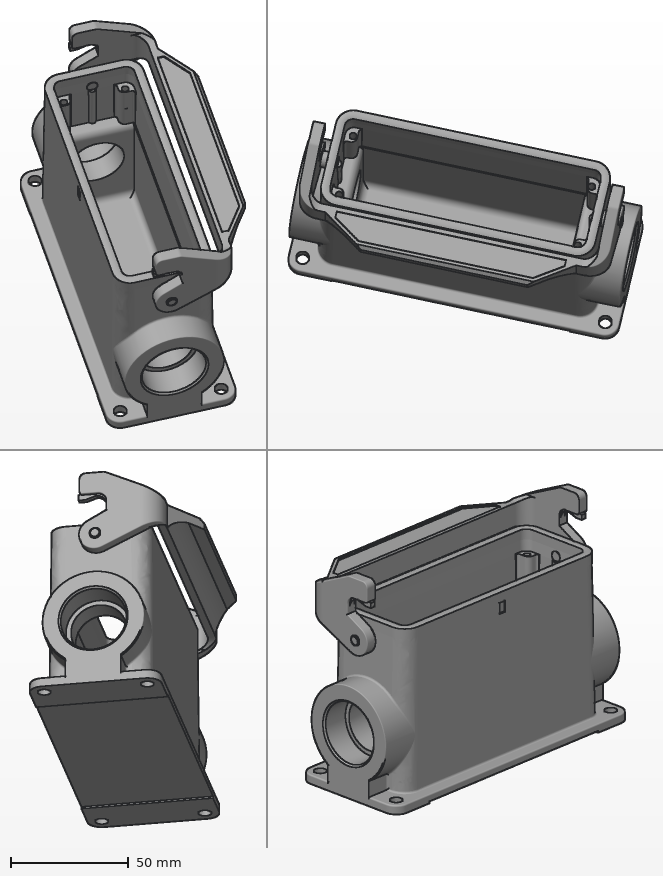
import cadquery as cq
import math

PLATE_LENGTH = 144.0
PLATE_WIDTH = 57.0
PLATE_HEIGHT = 4.2
PLATE_CORNER_RADIUS = 6.2
PLATE_EDGE_FILLET = 0.7
MOUNT_HOLE_DIAMETER = 5.6
MOUNT_HOLE_X = 66.0
MOUNT_HOLE_Y = 22.3
RELIEF_LENGTH = 103.7
RELIEF_HEIGHT = 0.9

RIM_Z = 80.4
BAND_Z = 75.2
BOX_TOP_LENGTH = 119.4
BOX_TOP_WIDTH = 43.5
BOX_FOOT_LENGTH = 121.5
BOX_FOOT_WIDTH = 44.8
BOX_CORNER_RADIUS = 7.6
ROOT_FILLET = 0.9
ROOT_TOLERANCE = 0.22
MARK_WIDTH = 3.5
MARK_HEIGHT = 5.2
MARK_DEPTH = 0.7
CROWN_HEIGHT = 0.5

MOUTH_LENGTH = 111.6
MOUTH_WIDTH = 35.5
MOUTH_CORNER_RADIUS = 3.7
MOUTH_STEP = 0.3
SHAFT_LENGTH = MOUTH_LENGTH - 2 * MOUTH_STEP
SHAFT_WIDTH = MOUTH_WIDTH - 2 * MOUTH_STEP
SHAFT_DRAFT = 0.5
LEDGE_Z = 49.0
WELL_LENGTH = 96.5
WELL_WIDTH = 33.1
WELL_FLOOR_FILLET = 3.0
FLOOR_Z = PLATE_HEIGHT
LEDGE_EDGE_FILLET = 3.2

POST_TOP_Z = 70.0
POST_X = 52.0
POST_Y = 13.5
POST_INNER_X = 50.1
POST_INNER_Y = 10.7
POST_CORNER_RADIUS = 2.6
POST_BLEND_RADIUS = 1.2
SCREW_HOLE_DIAMETER = 3.0
SCREW_HOLE_DEPTH = 11.5
RIB_DIAMETER = 3.5

SPIGOT_Z = 30.1
SPIGOT_DIAMETER = 44.0
SPIGOT_EDGE_FILLET = 0.5
BORE_DIAMETER = 28.4
BORE_DEPTH = 13.0
BORE_CHAMFER = 0.9
CABLE_HOLE_DIAMETER = 24.0
PEDESTAL_WIDTH = 24.0

PIVOT_Z = 72.0
PIVOT_RADIUS = 7.0
PIN_DIAMETER = 4.8
PIN_END_CHAMFER = 0.5
PIN_END_X = 68.4
COLLAR_DIAMETER = 7.0
LEVER_HALF_LENGTH = 67.7
LEVER_INNER_HALF_LENGTH = 62.6
LEVER_BACK_Y = 28.8
LEVER_INNER_Y = 25.3
LEVER_INNER_RADIUS = 6.0
LEVER_OUTER_RADIUS = 9.4
LEVER_TOP_Z = 100.7
ARM_SLOPE = math.radians(25)
ARM_FRONT_Y = -6.9
ARM_EDGE_FILLET = 0.5
NOSE_TOP_RADIUS = 2.9
NOSE_BOTTOM_RADIUS = 1.3
NOTCH_TOP_Z = 91.0
NOTCH_BACK_Y = 4.8
NOTCH_CORNER_Z = 82.7
NOTCH_RADIUS = 3.6
CREST_Y = 4.0
CREST_RADIUS = 2.7
CROSSBAR_TOP_Z = 88.7
CROSSBAR_BOTTOM_Z = 77.8
CROSSBAR_HALF_LENGTH = 56.6
CROSSBAR_BLEND_RADIUS = 8.4
LIP_CENTER_X = 64.8
LIP_WIDTH = 2.6
LIP_BOTTOM_Z = 88.7
LIP_FLAT_Y = -4.5
LIP_TIP_Y = -7.5
LIP_ROOT_Z = 86.3
LIP_BEND_Y = 0.5
LIP_BEND_Z = 90.3
LIP_BEND_RADIUS = 4.8

GRIP_EDGE_Y = 41.5
GRIP_EDGE_HALF_LENGTH = 36.5
GRIP_ROOT_HALF_LENGTH = 54.7
GRIP_EDGE_CHAMFER = 1.6
GRIP_UNDERSIDE_RADIUS = 11.5
GRIP_UNDERSIDE_START_Y = 36.0
GRIP_EDGE_BOTTOM_Z = 84.4
RECESS_DEPTH = 0.6
RECESS_NEAR_Y = 27.4
RECESS_SIDE_Y = 30.1
RECESS_FAR_Y = 38.3
RECESS_HALF_LENGTH = 50.0
RECESS_FAR_HALF_LENGTH = 38.0

SIDES = (-1, 1)
OVERLAP = 1.5


def rounded_rectangle(length, width, radius):
    return cq.Sketch().rect(length, width).vertices().fillet(radius)


def upright_prism(length, width, radius, bottom, top):
    outline = rounded_rectangle(length, width, radius)
    return cq.Workplane("XY").workplane(offset=bottom).placeSketch(outline).extrude(top - bottom)


def drafted_prism(bottom_size, top_size, radius, bottom, top):
    """Rounded block whose length and width change evenly from bottom to top."""
    rise = cq.Location(cq.Vector(0, 0, top - bottom))
    bottom_outline = rounded_rectangle(*bottom_size, radius)
    top_outline = rounded_rectangle(*top_size, radius).moved(rise)
    return cq.Workplane("XY").workplane(offset=bottom).placeSketch(bottom_outline, top_outline).loft(ruled=True)


def x_cylinder(diameter, x_start, x_end, z):
    end_plane = cq.Plane(origin=(x_start, 0, z), xDir=(0, 0, -1), normal=(1, 0, 0))
    return cq.Workplane(end_plane).circle(diameter / 2).extrude(x_end - x_start)


def mirrored_in_x(points):
    return points + [(-x, y) for x, y in reversed(points)]


def make_plate():
    plate = upright_prism(PLATE_LENGTH, PLATE_WIDTH, PLATE_CORNER_RADIUS, 0, PLATE_HEIGHT)
    plate = plate.faces(">Z").edges().fillet(PLATE_EDGE_FILLET)
    hole_places = [(sx * MOUNT_HOLE_X, sy * MOUNT_HOLE_Y) for sx in SIDES for sy in SIDES]
    holes = cq.Workplane("XY").pushPoints(hole_places).circle(MOUNT_HOLE_DIAMETER / 2).extrude(PLATE_HEIGHT)
    return plate.cut(holes)


def make_box():
    foot_size = (BOX_FOOT_LENGTH, BOX_FOOT_WIDTH)
    top_size = (BOX_TOP_LENGTH, BOX_TOP_WIDTH)
    drafted = drafted_prism(foot_size, top_size, BOX_CORNER_RADIUS, PLATE_HEIGHT, BAND_Z)
    band = upright_prism(BOX_TOP_LENGTH, BOX_TOP_WIDTH, BOX_CORNER_RADIUS, BAND_Z, RIM_Z)
    return drafted.union(band, clean=False).cut(make_rim_crowning())


def make_rim_crowning():
    """Space above the shallow crown of the rim, as a ring swept around the box."""
    wall = (BOX_TOP_WIDTH - MOUTH_WIDTH) / 2
    half_span = wall / 2 + OVERLAP
    middle_y = (BOX_TOP_WIDTH - wall) / 2
    edge_z = RIM_Z - CROWN_HEIGHT * (half_span / (wall / 2)) ** 2
    half_length = (BOX_TOP_LENGTH - wall) / 2
    radius = BOX_CORNER_RADIUS - wall / 2
    straight_x = half_length - radius
    straight_y = middle_y - radius
    path = (
        cq.Workplane("XY", origin=(0, 0, RIM_Z))
        .moveTo(0, -middle_y)
        .lineTo(straight_x, -middle_y)
        .tangentArcPoint((half_length, -straight_y), relative=False)
        .lineTo(half_length, straight_y)
        .tangentArcPoint((straight_x, middle_y), relative=False)
        .lineTo(-straight_x, middle_y)
        .tangentArcPoint((-half_length, straight_y), relative=False)
        .lineTo(-half_length, -straight_y)
        .tangentArcPoint((-straight_x, -middle_y), relative=False)
        .close()
    )
    section = (
        cq.Workplane("YZ")
        .moveTo(-middle_y - half_span, edge_z)
        .threePointArc((-middle_y, RIM_Z), (-middle_y + half_span, edge_z))
        .lineTo(-middle_y + half_span, RIM_Z + OVERLAP)
        .lineTo(-middle_y - half_span, RIM_Z + OVERLAP)
        .close()
    )
    return section.sweep(path)


def make_spigot(side):
    end_x = side * PLATE_LENGTH / 2
    spigot = x_cylinder(SPIGOT_DIAMETER, 0, end_x, SPIGOT_Z)
    pedestal = cq.Workplane("XY").box(
        PLATE_LENGTH / 2, PEDESTAL_WIDTH, SPIGOT_Z, centered=(True, True, False)
    ).translate((end_x / 2, 0, 0))
    end_face = ">X" if side > 0 else "<X"
    return spigot.faces(end_face).edges().fillet(SPIGOT_EDGE_FILLET).union(pedestal)


def make_cavity():
    shaft_size = (SHAFT_LENGTH, SHAFT_WIDTH)
    ledge_size = (SHAFT_LENGTH - 2 * SHAFT_DRAFT, SHAFT_WIDTH - 2 * SHAFT_DRAFT)
    mouth = upright_prism(MOUTH_LENGTH, MOUTH_WIDTH, MOUTH_CORNER_RADIUS, BAND_Z, RIM_Z)
    step = drafted_prism(shaft_size, (MOUTH_LENGTH, MOUTH_WIDTH), MOUTH_CORNER_RADIUS, POST_TOP_Z, BAND_Z)
    shaft = drafted_prism(ledge_size, shaft_size, MOUTH_CORNER_RADIUS, LEDGE_Z, POST_TOP_Z)
    well = cq.Workplane("XY").workplane(offset=FLOOR_Z).rect(WELL_LENGTH, WELL_WIDTH).extrude(LEDGE_Z - FLOOR_Z)
    well = well.faces("<Z").edges().fillet(WELL_FLOOR_FILLET)
    upper = mouth.union(step).union(shaft)
    return upper.union(well).union(make_ledge_rounding(1)).union(make_ledge_rounding(-1))


def make_ledge_rounding(side):
    """Space above the rounded inner edge of the ledge at one end."""
    well_x = side * WELL_LENGTH / 2
    radius = LEDGE_EDGE_FILLET
    corner = cq.Workplane("XY").box(radius, WELL_WIDTH, radius).translate(
        (well_x + side * radius / 2, 0, LEDGE_Z - radius / 2)
    )
    roll = cq.Workplane("XZ", origin=(well_x + side * radius, WELL_WIDTH / 2, LEDGE_Z - radius)).circle(radius)
    return corner.cut(roll.extrude(WELL_WIDTH))


def make_post(side_x, side_y):
    """Screw post in one corner of the cavity, drawn in the +X +Y corner and mirrored to the others."""
    wall_x = MOUTH_LENGTH / 2
    wall_y = MOUTH_WIDTH / 2
    blend_x = SHAFT_LENGTH / 2 - SHAFT_DRAFT
    blend_y = SHAFT_WIDTH / 2 - SHAFT_DRAFT
    blend = POST_BLEND_RADIUS
    outline = (
        cq.Workplane("XY", origin=(0, 0, LEDGE_Z - LEDGE_EDGE_FILLET))
        .moveTo(wall_x, wall_y)
        .lineTo(POST_INNER_X - blend, wall_y)
        .lineTo(POST_INNER_X - blend, blend_y)
        .radiusArc((POST_INNER_X, blend_y - blend), blend)
        .lineTo(POST_INNER_X, POST_INNER_Y + POST_CORNER_RADIUS)
        .radiusArc((POST_INNER_X + POST_CORNER_RADIUS, POST_INNER_Y), -POST_CORNER_RADIUS)
        .lineTo(blend_x - blend, POST_INNER_Y)
        .radiusArc((blend_x, POST_INNER_Y - blend), blend)
        .lineTo(wall_x, POST_INNER_Y - blend)
        .close()
    )
    post = outline.extrude(POST_TOP_Z - LEDGE_Z + LEDGE_EDGE_FILLET)
    hole = cq.Workplane("XY", origin=(POST_X, POST_Y, POST_TOP_Z)).circle(SCREW_HOLE_DIAMETER / 2)
    post = post.cut(hole.extrude(-SCREW_HOLE_DEPTH))
    if side_x < 0:
        post = post.mirror("YZ")
    if side_y < 0:
        post = post.mirror("XZ")
    return post


def make_rib(side):
    """Half-round key rib on the end wall of the cavity."""
    rib = cq.Workplane("XY", origin=(side * MOUTH_LENGTH / 2, 0, LEDGE_Z)).circle(RIB_DIAMETER / 2)
    return rib.extrude(POST_TOP_Z - LEDGE_Z)


def cut_spigot_bore(housing, side):
    end_x = side * PLATE_LENGTH / 2
    mouth_radius = BORE_DIAMETER / 2 + BORE_CHAMFER
    bore = x_cylinder(BORE_DIAMETER, end_x, end_x - side * BORE_DEPTH, SPIGOT_Z)
    mouth = cq.Workplane("XY").add(cq.Solid.makeCone(
        mouth_radius, BORE_DIAMETER / 2, BORE_CHAMFER,
        pnt=cq.Vector(end_x, 0, SPIGOT_Z), dir=cq.Vector(-side, 0, 0),
    ))
    cable_hole = x_cylinder(CABLE_HOLE_DIAMETER, end_x, 0, SPIGOT_Z)
    return housing.cut(bore).cut(mouth).cut(cable_hole)


def round_roots(shell):
    """Fillets where the box meets the plate, the spigots and their pedestals."""
    half_length = BOX_FOOT_LENGTH / 2 + ROOT_TOLERANCE
    half_width = BOX_FOOT_WIDTH / 2 + ROOT_TOLERANCE
    root_region = cq.selectors.BoxSelector(
        (-half_length, -half_width, PLATE_HEIGHT - ROOT_TOLERANCE),
        (half_length, half_width, SPIGOT_Z + SPIGOT_DIAMETER / 2 + ROOT_TOLERANCE),
        boundingbox=True,
    )

    def is_root(edge):
        bounds = edge.BoundingBox()
        on_plate = bounds.zmax < PLATE_HEIGHT + ROOT_TOLERANCE
        on_spigot = bounds.zmin > PLATE_HEIGHT + ROOT_TOLERANCE
        beside_pedestal = abs(edge.Center().y) < PEDESTAL_WIDTH / 2 + ROOT_TOLERANCE
        on_pedestal = bounds.ymax - bounds.ymin < ROOT_TOLERANCE and beside_pedestal
        return on_plate or on_spigot or on_pedestal

    return shell.edges(root_region).filter(is_root).fillet(ROOT_FILLET)


def make_housing():
    housing = make_plate().union(make_box())
    for side in SIDES:
        housing = housing.union(make_spigot(side))
    housing = round_roots(housing)
    housing = housing.cut(make_cavity())
    for side in SIDES:
        housing = cut_spigot_bore(housing, side)
        housing = housing.union(make_rib(side))
        for side_y in SIDES:
            housing = housing.union(make_post(side, side_y))
        collar = x_cylinder(COLLAR_DIAMETER, side * BOX_TOP_LENGTH / 2 - side * OVERLAP,
                            side * LEVER_INNER_HALF_LENGTH, PIVOT_Z)
        pin_hole = x_cylinder(PIN_DIAMETER, side * SHAFT_LENGTH / 2, side * LEVER_INNER_HALF_LENGTH, PIVOT_Z)
        housing = housing.union(collar).cut(pin_hole)
    mark = cq.Workplane("XY").box(MARK_WIDTH, 2 * MARK_DEPTH, MARK_HEIGHT)
    relief = cq.Workplane("XY").box(RELIEF_LENGTH, PLATE_WIDTH, 2 * RELIEF_HEIGHT)
    return housing.cut(relief).cut(mark.translate((0, -BOX_TOP_WIDTH / 2, BAND_Z - MARK_HEIGHT / 2)))


def make_arm_profile():
    """Slab with the side outline of the arms, in the YZ plane with the pivot eye at Y = 0."""
    back_top_z = LEVER_TOP_Z - (LEVER_BACK_Y - CREST_Y) * math.tan(ARM_SLOPE)
    crest_tangent = CREST_RADIUS * math.tan(ARM_SLOPE / 2)
    crest_back_y = CREST_Y + crest_tangent * math.cos(ARM_SLOPE)
    crest_back_z = LEVER_TOP_Z - crest_tangent * math.sin(ARM_SLOPE)
    eye_bottom_y = PIVOT_RADIUS * math.sin(ARM_SLOPE)
    eye_bottom_z = PIVOT_Z - PIVOT_RADIUS * math.cos(ARM_SLOPE)
    back_bottom_z = eye_bottom_z + (LEVER_BACK_Y - eye_bottom_y) * math.tan(ARM_SLOPE)
    notch_height = NOTCH_CORNER_Z - PIVOT_Z
    corner_angle = math.atan2(notch_height, NOTCH_BACK_Y)
    tangent_angle = corner_angle + math.acos(PIVOT_RADIUS / math.hypot(NOTCH_BACK_Y, notch_height))
    eye_top_y = PIVOT_RADIUS * math.cos(tangent_angle)
    eye_top_z = PIVOT_Z + PIVOT_RADIUS * math.sin(tangent_angle)
    outline = (
        cq.Workplane("YZ")
        .moveTo(LEVER_BACK_Y, back_bottom_z)
        .lineTo(LEVER_BACK_Y, back_top_z)
        .lineTo(crest_back_y, crest_back_z)
        .tangentArcPoint((CREST_Y - crest_tangent, LEVER_TOP_Z), relative=False)
        .lineTo(ARM_FRONT_Y + NOSE_TOP_RADIUS, LEVER_TOP_Z)
        .tangentArcPoint((ARM_FRONT_Y, LEVER_TOP_Z - NOSE_TOP_RADIUS), relative=False)
        .lineTo(ARM_FRONT_Y, NOTCH_TOP_Z + NOSE_BOTTOM_RADIUS)
        .tangentArcPoint((ARM_FRONT_Y + NOSE_BOTTOM_RADIUS, NOTCH_TOP_Z), relative=False)
        .lineTo(NOTCH_BACK_Y - NOTCH_RADIUS, NOTCH_TOP_Z)
        .tangentArcPoint((NOTCH_BACK_Y, NOTCH_TOP_Z - NOTCH_RADIUS), relative=False)
        .lineTo(NOTCH_BACK_Y, NOTCH_CORNER_Z)
        .lineTo(eye_top_y, eye_top_z)
        .threePointArc((-PIVOT_RADIUS, PIVOT_Z), (eye_bottom_y, eye_bottom_z))
        .close()
    )
    return outline.extrude(LEVER_HALF_LENGTH, both=True)


def make_bow():
    """U-shaped wall of the lever, open toward -Y, taller than the finished lever."""
    front_y = -2 * PIVOT_RADIUS

    def block(half_length, back_y, radius):
        solid = cq.Workplane("XY").box(
            2 * half_length, back_y - front_y, 2 * LEVER_TOP_Z, centered=(True, False, True)
        )
        return solid.translate((0, front_y, 0)).edges("|Z and >Y").fillet(radius)

    outside = block(LEVER_HALF_LENGTH, LEVER_BACK_Y, LEVER_OUTER_RADIUS)
    inside = block(LEVER_INNER_HALF_LENGTH, LEVER_INNER_Y, LEVER_INNER_RADIUS)
    return outside.cut(inside)


def make_crossbar_trim(edge_z, direction):
    """Space beyond the crossbar's straight edge, with concave blends up to the arms."""
    blend_length = LEVER_INNER_HALF_LENGTH - CROSSBAR_HALF_LENGTH
    blend_height = CROSSBAR_BLEND_RADIUS - math.sqrt(CROSSBAR_BLEND_RADIUS**2 - blend_length**2)
    blend_z = edge_z + direction * blend_height
    far_z = edge_z + direction * LEVER_OUTER_RADIUS
    outline = (
        cq.Workplane("XZ", origin=(0, LEVER_INNER_Y - LEVER_INNER_RADIUS, 0))
        .moveTo(-CROSSBAR_HALF_LENGTH, edge_z)
        .lineTo(CROSSBAR_HALF_LENGTH, edge_z)
        .tangentArcPoint((LEVER_INNER_HALF_LENGTH, blend_z), relative=False)
        .lineTo(LEVER_INNER_HALF_LENGTH, far_z)
        .lineTo(-LEVER_INNER_HALF_LENGTH, far_z)
        .lineTo(-LEVER_INNER_HALF_LENGTH, blend_z)
        .radiusArc((-CROSSBAR_HALF_LENGTH, edge_z), -direction * CROSSBAR_BLEND_RADIUS)
        .close()
    )
    return outline.extrude(-LEVER_BACK_Y)


def make_grip():
    side_outline = (
        cq.Workplane("YZ")
        .moveTo(LEVER_INNER_Y, CROSSBAR_BOTTOM_Z)
        .lineTo(LEVER_INNER_Y, CROSSBAR_TOP_Z)
        .lineTo(GRIP_EDGE_Y - GRIP_EDGE_CHAMFER, CROSSBAR_TOP_Z)
        .lineTo(GRIP_EDGE_Y, CROSSBAR_TOP_Z - GRIP_EDGE_CHAMFER)
        .lineTo(GRIP_EDGE_Y, GRIP_EDGE_BOTTOM_Z)
        .lineTo(GRIP_UNDERSIDE_START_Y, GRIP_EDGE_BOTTOM_Z)
        .radiusArc((LEVER_BACK_Y, CROSSBAR_BOTTOM_Z), -GRIP_UNDERSIDE_RADIUS)
        .close()
    )
    plan_points = mirrored_in_x([
        (GRIP_ROOT_HALF_LENGTH, LEVER_INNER_Y),
        (GRIP_ROOT_HALF_LENGTH, LEVER_BACK_Y),
        (GRIP_EDGE_HALF_LENGTH, GRIP_EDGE_Y),
    ])
    plan = cq.Workplane("XY").polyline(plan_points).close().extrude(LEVER_TOP_Z)
    return side_outline.extrude(GRIP_ROOT_HALF_LENGTH, both=True).intersect(plan)


def make_grip_recess():
    points = mirrored_in_x([
        (RECESS_HALF_LENGTH, RECESS_NEAR_Y),
        (RECESS_HALF_LENGTH, RECESS_SIDE_Y),
        (RECESS_FAR_HALF_LENGTH, RECESS_FAR_Y),
    ])
    return cq.Workplane("XY", origin=(0, 0, CROSSBAR_TOP_Z)).polyline(points).close().extrude(-RECESS_DEPTH)


def make_lip(side):
    """Narrow latching lip under the nose of one arm, running on around the notch."""
    lip = (
        cq.Workplane("YZ", origin=(side * LIP_CENTER_X, 0, 0))
        .moveTo(NOTCH_BACK_Y + OVERLAP, NOTCH_TOP_Z + NOSE_BOTTOM_RADIUS)
        .lineTo(NOTCH_BACK_Y + OVERLAP, LIP_ROOT_Z)
        .lineTo(NOTCH_BACK_Y, LIP_ROOT_Z)
        .radiusArc((LIP_BEND_Y, LIP_BEND_Z), -LIP_BEND_RADIUS)
        .lineTo(LIP_FLAT_Y, LIP_BOTTOM_Z)
        .lineTo(LIP_TIP_Y, LIP_BOTTOM_Z)
        .lineTo(LIP_TIP_Y, NOTCH_TOP_Z)
        .lineTo(ARM_FRONT_Y + NOSE_BOTTOM_RADIUS, NOTCH_TOP_Z + NOSE_BOTTOM_RADIUS)
        .close()
    )
    return lip.extrude(LIP_WIDTH / 2, both=True)


def make_pin(side):
    pin = x_cylinder(PIN_DIAMETER, side * SHAFT_LENGTH / 2, side * PIN_END_X, PIVOT_Z)
    return pin.faces(">X" if side > 0 else "<X").edges().chamfer(PIN_END_CHAMFER)


def make_lever():
    lever = make_bow().intersect(make_arm_profile())
    lever = lever.faces("<X or >X").edges().fillet(ARM_EDGE_FILLET)
    lever = lever.cut(make_crossbar_trim(CROSSBAR_TOP_Z, 1)).cut(make_crossbar_trim(CROSSBAR_BOTTOM_Z, -1))
    lever = lever.union(make_grip()).cut(make_grip_recess())
    for side in SIDES:
        lever = lever.union(make_lip(side)).union(make_pin(side))
    return lever


housing = make_housing()
lever = make_lever()
result = cq.Compound.makeCompound([housing.val(), lever.val()])